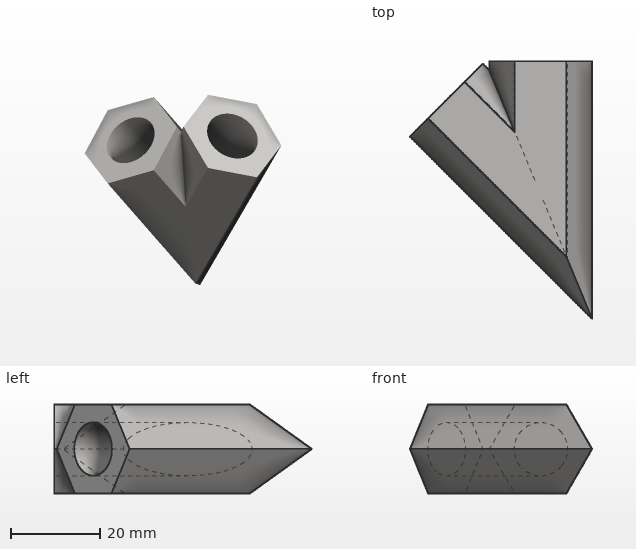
import cadquery as cq
import math

arm_length = 57.9
corner_width = 23.15
bore_diameter = 12.0
arm_angle = 45.0

half_angle = arm_angle / 2
axis_x = -corner_width / 2
mitre_offset = arm_length * math.tan(math.radians(half_angle))


def make_arm():
    """Arm along Y with its bore, kept only on its own side of the mitre plane."""
    hexagon_and_bore = (
        cq.Workplane("XZ", origin=(axis_x, 0, 0))
        .polygon(6, corner_width)
        .circle(bore_diameter / 2)
        .extrude(-arm_length)
    )
    mitre_wedge = (
        cq.Workplane("XY")
        .polyline([(0, 0), (0, arm_length), (-mitre_offset, arm_length)])
        .close()
        .extrude(corner_width / 2, both=True)
    )
    return hexagon_and_bore.intersect(mitre_wedge)


tip = (0, 0, 0)
tip_axis_end = (0, 0, 1)
turned_arm = make_arm().rotate(tip, tip_axis_end, -half_angle)
joined_arms = turned_arm.union(turned_arm.mirror("YZ"))
result = joined_arms.rotate(tip, tip_axis_end, half_angle)